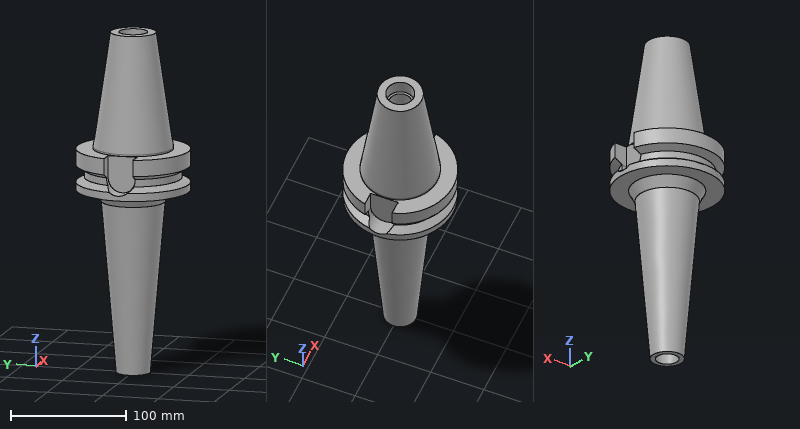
import cadquery as cq


taper_length = 101.8
gauge_diameter = 69.85
taper_ratio = 7 / 24
taper_top_diameter = gauge_diameter - taper_ratio * taper_length

flange_diameter = 100.0
flange_top_z = -1.5
flange_bottom_z = -38.0
groove_diameter = 85.0
groove_center_z = -23.4
groove_floor_width = 6.6
groove_slope_height = 4.2

collar_diameter = 67.0
collar_height = 10.0
nose_root_diameter = 56.0
nose_tip_diameter = 30.0
nose_length = 200.0

through_diameter = 20.5
pilot_diameter = 25.0
pilot_depth = 13.0

keyway_width = 25.7
keyway_floor_x = 35.3
keyway_bottom_z = -33.7


def holder_body():
    """Revolve the outer profile, listed from the top of the shank downwards."""
    groove_floor_top = groove_center_z + groove_floor_width / 2
    groove_floor_bottom = groove_center_z - groove_floor_width / 2
    profile = [
        (0, taper_length),
        (taper_top_diameter / 2, taper_length),
        (gauge_diameter / 2, 0),
        (gauge_diameter / 2, flange_top_z),
        (flange_diameter / 2, flange_top_z),
        (flange_diameter / 2, groove_floor_top + groove_slope_height),
        (groove_diameter / 2, groove_floor_top),
        (groove_diameter / 2, groove_floor_bottom),
        (flange_diameter / 2, groove_floor_bottom - groove_slope_height),
        (flange_diameter / 2, flange_bottom_z),
        (collar_diameter / 2, flange_bottom_z),
        (nose_root_diameter / 2, flange_bottom_z - collar_height),
        (nose_tip_diameter / 2, -nose_length),
        (0, -nose_length),
    ]
    return cq.Workplane("XZ").polyline(profile).close().revolve(360, (0, 0, 0), (0, 1, 0))


def stepped_bore():
    """Through hole with a wider pilot bore at the top of the shank."""
    through = cq.Workplane("XY").workplane(offset=-nose_length).circle(through_diameter / 2)
    pilot = cq.Workplane("XY").workplane(offset=taper_length).circle(pilot_diameter / 2)
    return through.extrude(nose_length + taper_length).union(pilot.extrude(-pilot_depth))


def keyway(side):
    """Round-ended slot, open at the flange top, on the +X (1) or -X (-1) side."""
    radius = keyway_width / 2
    arc_center_z = keyway_bottom_z + radius
    outline = (
        cq.Workplane("YZ")
        .workplane(offset=side * keyway_floor_x)
        .moveTo(-radius, flange_top_z)
        .lineTo(-radius, arc_center_z)
        .threePointArc((0, keyway_bottom_z), (radius, arc_center_z))
        .lineTo(radius, flange_top_z)
        .close()
    )
    return outline.extrude(side * flange_diameter / 2)


result = holder_body().cut(stepped_bore())
for side in (1, -1):
    result = result.cut(keyway(side))